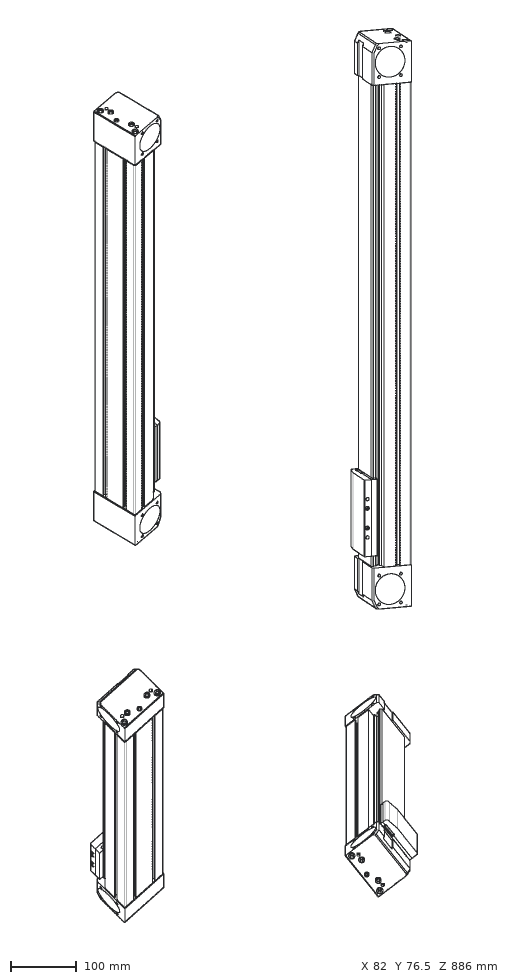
import cadquery as cq

total_length = 886.0
cap_width = 82.0
cap_height = 65.0

cap_depth = 63.5
cap_front_chamfer = 1.2
cap_back_chamfer = 2.5
cap_edge_margin = 1.0
cap_nose_depth = 58.0
cap_nose_length = 14.0
cap_nose_chamfer = 2.0

cover_diameter = 48.0
cover_thickness = 3.0
cover_y = 35.0
cover_from_end = 30.0
cover_screw_diameter = 4.13
cover_screw_depth = 8.0
cover_screw_pitch_y = 35.2
cover_screw_pitch_z = 45.0

corner_bore_diameter = 9.5
corner_hole_diameter = 5.0
corner_hole_spacing = 69.0
middle_bore_diameter = 7.0
middle_hole_diameter = 4.13
middle_hole_x = -2.5
mounting_hole_y = 8.0
port_bore_diameter = 9.0
port_diameter = 4.92
port_spacing = 41.0
port_y = 16.0
plug_diameter = 5.0
plug_spacing = 60.0
plug_y = 17.2
end_bore_depth = 2.5
end_hole_depth = 12.0

relief_left = 4.0
relief_right = 25.0
relief_floor_y = 61.3

profile_width = 79.6
profile_depth = 61.0
profile_corner_radius = 2.0
profile_length = total_length - 2 * cap_height
rail_half_width = 30.0
rail_chamfer = 2.0
rail_lip_y = 57.5
groove_top_y = 54.0
groove_bottom_y = 44.5
groove_half_width = 28.0
groove_slot_width = 4.5
groove_slot_depth = 5.0

slot_mouth = 5.2
slot_lip = 1.8
slot_inner_width = 8.2
slot_inner_depth = 4.5
slot_floor_drop = 0.6
front_slot_spacing = 40.0
side_slot_y = 21.0

carriage_length = 120.0
carriage_bottom = 84.0
carriage_left = -cap_width / 2
carriage_right = 31.0
carriage_top = 76.5
carriage_left_chamfer = 1.2
split_y = 65.0
roof_slope_start = 10.0
shoulder_top = (26.0, 73.5)
shoulder_bottom_y = 69.0
flange_thickness = 8.0
flange_bottom = 55.5
pocket_floor_y = 62.5
pocket_roof_y = 66.5
pocket_depth = 10.0

side_hole_y = 71.5
side_hole_depth = 10.0
outer_hole_diameter = 5.0
outer_hole_pitch = 60.0
inner_bore_diameter = 5.7
inner_bore_depth = 4.0
inner_hole_diameter = 3.24
inner_hole_pitch = 31.0


def x_hole(x, y, z, diameter, depth):
    """A round bore that enters at x and runs along +X for its depth."""
    return cq.Workplane("YZ", origin=(x, y, z)).circle(diameter / 2).extrude(depth)


def end_hole(x, y, diameter, depth):
    """A round bore that enters at the lower end face and runs along +Z for its depth."""
    return cq.Workplane("XY", origin=(x, y, 0)).circle(diameter / 2).extrude(depth)


def counterbored_hole(x, y, bore_diameter, hole_diameter):
    """A hole in the lower end face with a shallow, wider bore at its mouth."""
    bore = end_hole(x, y, bore_diameter, end_bore_depth)
    return bore.union(end_hole(x, y, hole_diameter, end_hole_depth))


def make_lower_cap():
    """The lower drive housing, its nose sloping down towards the outer end."""
    side_outline = [
        (cap_front_chamfer, 0),
        (cap_nose_depth - cap_nose_chamfer, 0),
        (cap_nose_depth, cap_nose_chamfer),
        (cap_depth, cap_nose_length),
        (cap_depth, cap_height),
        (cap_front_chamfer, cap_height),
        (0, cap_height - cap_front_chamfer),
        (0, cap_front_chamfer),
    ]
    cap = (
        cq.Workplane("YZ", origin=(-cap_width / 2, 0, 0))
        .polyline(side_outline)
        .close()
        .extrude(cap_width)
    )
    back_edges = cq.selectors.BoxSelector(
        (-cap_width, cap_nose_depth - cap_nose_chamfer / 2, 0),
        (cap_width, 2 * cap_depth, cap_height - cap_edge_margin),
    )
    cap = cap.edges("not |X").edges(back_edges).chamfer(cap_back_chamfer)
    notch = cq.Workplane("XY").box(
        relief_right - relief_left, cap_depth - relief_floor_y, cap_height, centered=False
    )
    cap = cap.cut(notch.translate((relief_left, relief_floor_y, 0)))

    for side in (-1, 1):
        face_x = side * cap_width / 2
        cap = cap.cut(x_hole(face_x, cover_y, cover_from_end, cover_diameter, -side * cover_thickness))
        for dy in (-cover_screw_pitch_y / 2, cover_screw_pitch_y / 2):
            for dz in (-cover_screw_pitch_z / 2, cover_screw_pitch_z / 2):
                screw_y = cover_y + dy
                screw_z = cover_from_end + dz
                cap = cap.cut(
                    x_hole(face_x, screw_y, screw_z, cover_screw_diameter, -side * cover_screw_depth)
                )
        cap = cap.cut(counterbored_hole(side * port_spacing / 2, port_y, port_bore_diameter, port_diameter))
        cap = cap.cut(end_hole(side * plug_spacing / 2, plug_y, plug_diameter, end_hole_depth))
        cap = cap.cut(
            counterbored_hole(
                side * corner_hole_spacing / 2, mounting_hole_y, corner_bore_diameter, corner_hole_diameter
            )
        )

    middle_hole = counterbored_hole(
        middle_hole_x, mounting_hole_y, middle_bore_diameter, middle_hole_diameter
    )
    return cap.cut(middle_hole)


def make_lower_cover(side):
    """A round bearing cover set flush into one flank of the lower drive housing."""
    return x_hole(side * cap_width / 2, cover_y, cover_from_end, cover_diameter, -side * cover_thickness)


def to_upper_end(body):
    """Mirror a lower-end body to the upper end of the unit."""
    return body.mirror("XY", (0, 0, total_length / 2))


def slot_cutter():
    """A T-slot along +Z that opens at Y = 0 and runs into +Y, with a shallow V in its floor."""
    mouth = slot_mouth / 2
    inner = slot_inner_width / 2
    floor = slot_lip + slot_inner_depth
    outline = [
        (-mouth, 0),
        (-mouth, slot_lip),
        (-inner, slot_lip),
        (-inner, floor),
        (0, floor + slot_floor_drop),
        (inner, floor),
        (inner, slot_lip),
        (mouth, slot_lip),
        (mouth, 0),
    ]
    return cq.Workplane("XY").polyline(outline).close().extrude(profile_length)


def make_profile():
    """The long extrusion: box body, guide rail behind it and T-slots on three sides."""
    half_width = profile_width / 2
    slot_floor = groove_half_width - groove_slot_depth
    slot_middle = (groove_top_y + groove_bottom_y) / 2
    slot_upper = slot_middle + groove_slot_width / 2
    slot_lower = slot_middle - groove_slot_width / 2
    right_side = [
        (half_width, 0),
        (half_width, groove_bottom_y),
        (groove_half_width, groove_bottom_y),
        (groove_half_width, slot_lower),
        (slot_floor, slot_lower),
        (slot_floor, slot_upper),
        (groove_half_width, slot_upper),
        (groove_half_width, groove_top_y),
        (rail_half_width, rail_lip_y),
        (rail_half_width, profile_depth - rail_chamfer),
        (rail_half_width - rail_chamfer, profile_depth),
    ]
    left_side = [(-x, y) for x, y in reversed(right_side)]
    profile = cq.Workplane("XY").polyline(right_side + left_side).close().extrude(profile_length)
    profile = profile.edges("|Z and <Y").fillet(profile_corner_radius)

    for side in (-1, 1):
        front_slot = slot_cutter().translate((side * front_slot_spacing / 2, 0, 0))
        side_slot = slot_cutter().rotate((0, 0, 0), (0, 0, 1), side * 90)
        side_slot = side_slot.translate((side * half_width, side_slot_y, 0))
        profile = profile.cut(front_slot).cut(side_slot)
    return profile.translate((0, 0, cap_height))


def end_pockets():
    """The relief pockets in both ends of the carriage, shared by plate and slide."""
    pocket = cq.Workplane("XY").box(
        relief_right - relief_left, pocket_roof_y - pocket_floor_y, pocket_depth, centered=False
    )
    first = pocket.translate((relief_left, pocket_floor_y, carriage_bottom))
    return first.union(first.translate((0, 0, carriage_length - pocket_depth)))


def make_carriage_plate():
    """The upper carriage plate with a rounded right shoulder and holes in its left flank."""
    plate = (
        cq.Workplane("XY", origin=(0, 0, carriage_bottom))
        .moveTo(carriage_left, split_y)
        .lineTo(carriage_right, split_y)
        .lineTo(carriage_right, shoulder_bottom_y)
        .tangentArcPoint(shoulder_top, relative=False)
        .lineTo(roof_slope_start, carriage_top)
        .lineTo(carriage_left + carriage_left_chamfer, carriage_top)
        .lineTo(carriage_left, carriage_top - carriage_left_chamfer)
        .close()
        .extrude(carriage_length)
    )
    middle_z = carriage_bottom + carriage_length / 2
    hole_kinds = (
        (outer_hole_pitch, outer_hole_diameter, side_hole_depth),
        (inner_hole_pitch, inner_bore_diameter, inner_bore_depth),
        (inner_hole_pitch, inner_hole_diameter, side_hole_depth),
    )
    for pitch, diameter, depth in hole_kinds:
        for side in (-1, 1):
            hole_z = middle_z + side * pitch / 2
            plate = plate.cut(x_hole(carriage_left, side_hole_y, hole_z, diameter, depth))
    return plate.cut(end_pockets())


def make_carriage_slide():
    """The lower carriage body that rides on the rail, with a flange over its left side."""
    flange_inner = carriage_left + flange_thickness
    outline = [
        (carriage_left, split_y),
        (carriage_left, flange_bottom),
        (flange_inner, flange_bottom),
        (flange_inner, profile_depth),
        (carriage_right, profile_depth),
        (carriage_right, split_y),
    ]
    slide = (
        cq.Workplane("XY", origin=(0, 0, carriage_bottom)).polyline(outline).close().extrude(carriage_length)
    )
    return slide.cut(end_pockets())


profile = make_profile()
lower_cap = make_lower_cap()
upper_cap = to_upper_end(lower_cap)
lower_covers = [make_lower_cover(side) for side in (-1, 1)]
upper_covers = [to_upper_end(cover) for cover in lower_covers]
carriage_plate = make_carriage_plate()
carriage_slide = make_carriage_slide()

bodies = [profile, lower_cap, upper_cap, *lower_covers, *upper_covers, carriage_plate, carriage_slide]
result = cq.Compound.makeCompound([body.val() for body in bodies])